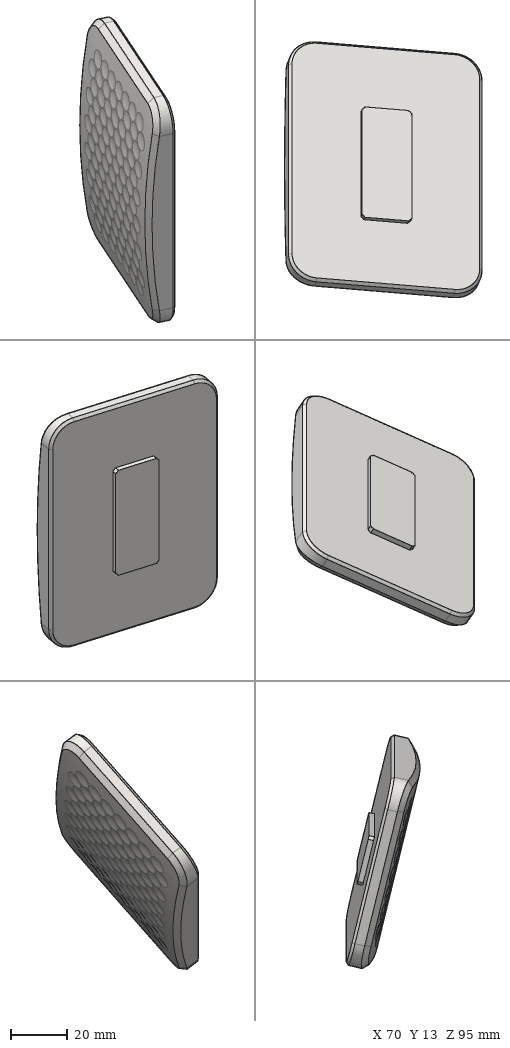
import cadquery as cq
import math

width = 70.0
height = 95.0
depth_at_middle = 11.0
front_radius = 256.5
corner_radius = 10.0
front_chamfer = 2.0
back_chamfer = 1.0

pad_width = 18.05
pad_height = 43.7
pad_thickness = 2.0
pad_chamfer = 1.1

column_pitch = 7.0
row_pitch = 5.9
row_count = 13
short_row_count = 7
long_row_count = 8
short_row_gap = 0.04
short_row_diameter = column_pitch - short_row_gap
long_row_diameter = 6.8
dimple_depth = 0.62
cutter_overshoot = 0.1


def front_centre_y():
    """Y of the axis of the bowed front."""
    return front_radius - depth_at_middle


def front_y(z):
    """Y of the bowed front at height z."""
    return front_centre_y() - math.sqrt(front_radius**2 - z**2)


def make_body():
    half_height = height / 2
    body = (
        cq.Workplane("YZ")
        .moveTo(0, -half_height)
        .lineTo(front_y(half_height), -half_height)
        .threePointArc((-depth_at_middle, 0), (front_y(half_height), half_height))
        .lineTo(0, half_height)
        .close()
        .extrude(width / 2, both=True)
    )
    body = body.edges("|Y").fillet(corner_radius)
    body = body.faces(">Y").edges().chamfer(back_chamfer)
    return body.faces("<Y").edges().chamfer(front_chamfer)


def make_pad():
    pad = cq.Workplane("XY").box(pad_width, pad_thickness, pad_height, centered=(True, False, True))
    return pad.edges("|Y").chamfer(pad_chamfer)


def make_dimple_cutter(diameter):
    """Ball cap along +Y, with the middle of its rim at the origin and reaching just outside it."""
    ball_radius = (diameter**2 / 4 + dimple_depth**2) / (2 * dimple_depth)
    ball_y = dimple_depth - ball_radius
    size = 2 * ball_radius
    ball = cq.Workplane("XY").sphere(ball_radius).translate((0, ball_y, 0))
    keep = cq.Workplane("XY").box(size, size, size, centered=(True, False, True))
    cap = ball.intersect(keep.translate((0, -cutter_overshoot, 0))).val()
    return cap.toNURBS()


def row_positions(count, pitch):
    """Places along a row of the given count, centred on zero."""
    return [(index - (count - 1) / 2) * pitch for index in range(count)]


def place_on_front(cutter, x, z):
    """Move a cutter to a point of the bowed front and turn it square to the surface there."""
    tilt = math.degrees(math.asin(z / front_radius))
    turned = cutter.rotate(cq.Vector(0, 0, 0), cq.Vector(1, 0, 0), -tilt)
    return turned.translate(cq.Vector(x, front_y(z), z))


def cut_dimples(plate, first_row, count, diameter):
    """Cut every second row, taking alternate columns together so that no two cutters touch."""
    cutter = make_dimple_cutter(diameter)
    rows = row_positions(row_count, row_pitch)[first_row::2]
    columns = row_positions(count, column_pitch)
    for first_column in (0, 1):
        cutters = [place_on_front(cutter, x, z) for z in rows for x in columns[first_column::2]]
        plate = plate.cut(*cutters)
    return plate


plate = make_body().union(make_pad()).val()
plate = cut_dimples(plate, 0, short_row_count, short_row_diameter)
plate = cut_dimples(plate, 1, long_row_count, long_row_diameter)
result = cq.Workplane("XY").newObject(plate.Solids())